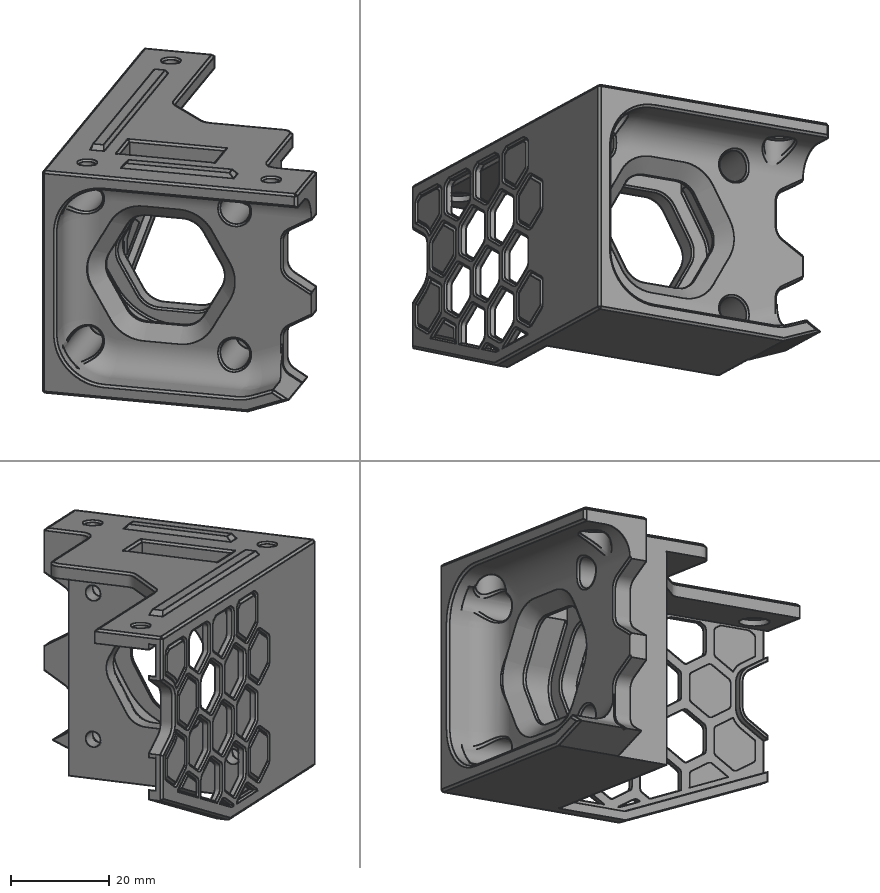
import cadquery as cq
import math

width = 53.8
length = 77.8
height = 48.0
arm_width = 15.0
wall = 3.0
edge_chamfer = 0.5
rim_chamfer = 0.4
hex_angle = math.radians(30)

bevel_start = 43.3
long_arm_end_z = 13.3
bevel_slope = long_arm_end_z / (length - bevel_start)
bevel_angle = math.atan(bevel_slope)

hex_pitch = 12.0
hex_across_flats = 10.0
hex_corner_radius = 1.0
row_pitch = hex_pitch * math.cos(hex_angle)
first_row_y = 70.8
first_row_z = 41.25
panel_thickness = 1.5
notch_border = 1.9
bevel_border = 3.1
plug_chamfer = 0.55
recess_margin = 1.2
plugged_cells = [(0, 0), (0, 3), (1, 0), (1, 3), (2, 0), (3, 0), (3, 3)]
open_cells = [(0, 1), (0, 2), (1, 1), (1, 2), (2, 1), (2, 2), (2, 3), (3, 1), (3, 2), (4, 2), (4, 3)]

notch_depth = 6.05
notch_mouth_half = 7.85
notch_radius = 3.0
upper_notch_z = first_row_z - row_pitch
lower_notch_z = first_row_z - 3 * row_pitch

bump_x = 43.1
bump_y = 37.8
diagonal_start_y = 47.0
outline_radius = 2.5

pocket_depth = 11.0
pocket_corner_radius = 10.0
pocket_floor_radius = 6.0

fan_x = 22.15
fan_z = 23.85
fan_hole_pitch = 31.0
duct_apothem = 11.55
duct_corner_radius = 5.0
duct_chamfer = 3.0
chamber_front = 14.7
chamber_back = 23.0
chamber_depth = chamber_back - chamber_front
chamber_apothem = 15.2
chamber_corner_radius = 8.0
block_back = 27.0
slot_width = 20.0

screw_diameter = 3.3
head_diameter = 6.25
head_seat = 1.8
bore_clearance = 0.15
screw_inset = 7.5
arm_screw_y = 71.6
corner_screw = (screw_inset, screw_inset)
short_arm_screw = (width - screw_inset, screw_inset)
long_arm_screw = (screw_inset, arm_screw_y)

rib_width = 3.0
rib_height = 1.0
rib_side_slope = 0.4
rib_end_slope = 1.0
rib_start = 15.0
long_rib_length = 49.0
short_rib_length = width - 2 * rib_start


def front_plane(y):
    return cq.Workplane("XZ", origin=(0, y, 0))


def side_plane(x):
    return cq.Workplane("YZ", origin=(x, 0, 0))


def arm_outline(plane, arm_length):
    """Outline of an arm, with the sloping cut at its outer bottom corner."""
    return plane.polyline([
        (0, 0),
        (bevel_start, 0),
        (arm_length, bevel_slope * (arm_length - bevel_start)),
        (arm_length, height),
        (0, height),
    ]).close()


def notch_outline(plane, arm_length, center_z, grow=0.0):
    """Outline of a notch in an arm end: 30 degree sides and rounded inner corners."""
    taper = math.tan(hex_angle)
    inner = arm_length - notch_depth - grow
    inner_half = notch_mouth_half - (notch_depth - grow) * taper
    overshoot = 2 * notch_depth
    outer_half = inner_half + overshoot * taper
    radius = notch_radius + grow
    tangent = radius * taper
    back = tangent * math.cos(hex_angle)
    rise = tangent * math.sin(hex_angle)
    sag = radius * (1 / math.cos(hex_angle) - 1)
    mid = inner + sag * math.cos(hex_angle)
    mid_rise = sag * math.sin(hex_angle)
    low = center_z - inner_half
    high = center_z + inner_half
    return (
        plane.moveTo(inner, low + tangent)
        .threePointArc((mid, low + mid_rise), (inner + back, low - rise))
        .lineTo(inner + overshoot, center_z - outer_half)
        .lineTo(inner + overshoot, center_z + outer_half)
        .lineTo(inner + back, high + rise)
        .threePointArc((mid, high - mid_rise), (inner, high - tangent))
        .close()
    )


def top_plate():
    plate = cq.Workplane("XY", origin=(0, 0, height - wall)).polyline([
        (0, 0),
        (width, 0),
        (width, arm_width),
        (bump_x, arm_width),
        (bump_x, bump_y),
        (arm_width + diagonal_start_y - bump_y, bump_y),
        (arm_width, diagonal_start_y),
        (arm_width, length),
        (0, length),
    ]).close().extrude(wall)
    inner_corners = cq.selectors.BoxSelector(
        (arm_width - 1, arm_width - 1, 0), (width - 1, length - 1, height)
    )
    return plate.edges("|Z").edges(inner_corners).fillet(outline_radius)


def pocket():
    """Open-sided scoop whose lower edge follows the sloping cut."""
    mouth = 2 * width
    bend = bevel_start - wall * math.tan(bevel_angle / 2)
    scoop = front_plane(0).polyline([
        (wall, wall),
        (bend, wall),
        (mouth, wall + bevel_slope * (mouth - bend)),
        (mouth, height - wall),
        (wall, height - wall),
    ]).close().extrude(-pocket_depth)
    scoop = scoop.edges("|Y").edges("<X").fillet(pocket_corner_radius)
    bend_edge = cq.selectors.BoxSelector((bend - 1, 0, 0), (bend + 1, arm_width, height))
    scoop = scoop.edges("|Y").edges(bend_edge).fillet(pocket_corner_radius)
    return scoop.faces(">Y").edges().fillet(pocket_floor_radius)


def outer_shell():
    """Both arms, the top plate and the fan block, with the pocket and the end notches cut."""
    front = arm_outline(front_plane(0), width).extrude(-arm_width)
    side = arm_outline(side_plane(0), length).extrude(wall)
    block = front_plane(arm_width).rect(bump_x, height, centered=False).extrude(arm_width - block_back)
    shell = front.union(side).union(block).union(top_plate()).cut(pocket())
    for center_z in (upper_notch_z, lower_notch_z):
        shell = shell.cut(notch_outline(front_plane(0), width, center_z).extrude(-arm_width))
    shell = shell.cut(notch_outline(side_plane(0), length, upper_notch_z).extrude(wall))
    shell = shell.faces(">Z or <X or <Y").edges().chamfer(edge_chamfer)
    for center_z in (upper_notch_z, lower_notch_z):
        flare = notch_outline(front_plane(pocket_depth), width, center_z, rim_chamfer)
        shell = shell.cut(flare.extrude(-rim_chamfer, taper=45))
    return shell


def rod(x, y, z, direction, diameter, depth):
    start = cq.Vector(x, y, z)
    return cq.Workplane(obj=cq.Solid.makeCylinder(diameter / 2, depth, start, cq.Vector(direction)))


def countersink(x, y, z, direction):
    """Cone that widens a screw hole where it opens at a face."""
    radius = screw_diameter / 2
    start = cq.Vector(x, y, z)
    cone = cq.Solid.makeCone(radius + rim_chamfer, radius, rim_chamfer, start, cq.Vector(direction))
    return cq.Workplane(obj=cone)


def plate_screw_hole(x, y):
    """Hole through the top plate, with its head bore below."""
    down = (0, 0, -1)
    seat_z = height - head_seat
    bore_depth = seat_z - (fan_z + fan_hole_pitch / 2)
    hole = rod(x, y, height, down, screw_diameter, wall)
    hole = hole.union(countersink(x, y, height, down))
    return hole.union(rod(x, y, seat_z, down, head_diameter, bore_depth))


def fan_screw_hole(x, z, countersunk):
    """Hole through the fan block, with a deep head bore opening into the pocket."""
    inward = (0, 1, 0)
    hole = rod(x, wall, z, inward, screw_diameter, block_back - wall)
    hole = hole.union(rod(x, wall, z, inward, head_diameter, chamber_back - wall))
    if countersunk:
        hole = hole.union(countersink(x, chamber_back, z, inward))
    return hole


def edges_within(low, high):
    return cq.selectors.BoxSelector(low, high, boundingbox=True)


def cut_screw_holes(shell):
    """Cut all the screw holes, then chamfer the rims of the head bores in the pocket."""
    half_pitch = fan_hole_pitch / 2
    fillet_start = pocket_depth - pocket_floor_radius
    reach = head_diameter / 2 + bore_clearance
    bore_rims = []
    for side in (-1, 1):
        for level in (-1, 1):
            x = fan_x + side * half_pitch
            z = fan_z + level * half_pitch
            shell = shell.cut(fan_screw_hole(x, z, side == 1 or level == -1))
            bore_rims.append(edges_within(
                (x - reach, fillet_start - bore_clearance, z - reach),
                (x + reach, pocket_depth + bore_clearance, z + reach),
            ))
    for x, y in (corner_screw, short_arm_screw, long_arm_screw):
        shell = shell.cut(plate_screw_hole(x, y))
    x, y = short_arm_screw
    bore_rims.append(edges_within(
        (x - reach, y - reach, fan_z), (x + reach, y + reach, height - wall + bore_clearance)
    ))
    for rim in bore_rims:
        shell = shell.edges(rim).chamfer(rim_chamfer)
    return shell


def flat_top_hexagon(apothem, y, depth, corner_radius):
    across_corners = 2 * apothem / math.cos(hex_angle)
    prism = front_plane(y).center(fan_x, fan_z).polygon(6, across_corners).extrude(-depth)
    return prism.edges("|Y").fillet(corner_radius)


def duct_flare(y, size, lead):
    """Cutter with a straight lead up to y, narrowing to the duct behind it."""
    flare = flat_top_hexagon(duct_apothem + size, y - lead, lead + size, duct_corner_radius + size)
    return flare.faces(">Y").edges().chamfer(size)


def duct():
    """Rounded hexagonal passage with flared entries at the pocket and at the rear wall."""
    passage = flat_top_hexagon(duct_apothem, pocket_depth, block_back - pocket_depth, duct_corner_radius)
    pocket_entry = duct_flare(pocket_depth, duct_chamfer, pocket_floor_radius)
    rear_entry = duct_flare(chamber_back, rim_chamfer, chamber_depth / 2)
    return passage.union(pocket_entry).union(rear_entry)


def chamber():
    """Hexagonal chamber with round side corners and a round bottom, open to a slot in the top."""
    tangent_x = chamber_apothem * math.cos(hex_angle)
    tangent_z = chamber_apothem * math.sin(hex_angle)
    corner_x = chamber_apothem / math.cos(hex_angle)
    top_x = chamber_apothem * math.tan(hex_angle)
    body = (
        front_plane(chamber_front).center(fan_x, fan_z)
        .moveTo(-tangent_x, -tangent_z)
        .threePointArc((0, -chamber_apothem), (tangent_x, -tangent_z))
        .lineTo(corner_x, 0)
        .lineTo(top_x, chamber_apothem)
        .lineTo(-top_x, chamber_apothem)
        .lineTo(-corner_x, 0)
        .close()
        .extrude(-chamber_depth)
    )
    body = body.edges("|Y").edges("<X or >X").fillet(chamber_corner_radius)
    body = body.faces(">Y").edges().chamfer(rim_chamfer)
    middle_y = (chamber_front + chamber_back) / 2
    slot = (
        cq.Workplane("XY", origin=(fan_x, middle_y, fan_z))
        .rect(slot_width, chamber_depth)
        .extrude(height - fan_z)
    )
    slot_rim = (
        cq.Workplane("XY", origin=(fan_x, middle_y, height))
        .rect(slot_width + 2 * edge_chamfer, chamber_depth + 2 * edge_chamfer)
        .extrude(-edge_chamfer, taper=45)
    )
    return body.union(slot).union(slot_rim)


def honeycomb_region(start, depth, grow=0.0):
    """Slab of the long arm that the cells may fill, grown sideways if asked."""
    inset = wall - grow
    slope_inset = bevel_border - grow
    region = side_plane(start).polyline([
        (0, inset),
        (bevel_start - slope_inset * math.tan(bevel_angle / 2), inset),
        (length, long_arm_end_z + slope_inset / math.cos(bevel_angle)),
        (length, height - inset),
        (0, height - inset),
    ]).close().extrude(depth)
    border = notch_outline(side_plane(start), length, upper_notch_z, notch_border - grow)
    return region.cut(border.extrude(depth))


def hexagon_cell(row, column, start, depth, grow=0.0):
    y = first_row_y - (column + row % 2 / 2) * hex_pitch
    z = first_row_z - row * row_pitch
    across_corners = (hex_across_flats + 2 * grow) / math.cos(hex_angle)
    prism = (
        cq.Workplane("YZ", origin=(start, y, z))
        .transformed(rotate=(0, 0, 90))
        .polygon(6, across_corners)
        .extrude(depth)
    )
    return prism.edges("|X").fillet(hex_corner_radius + grow)


def bevelled_overlap(first, second, face, bevel):
    """Common part of two slabs, with all its edges on one face chamfered."""
    first = first.faces(face).edges().chamfer(bevel)
    return first.intersect(second.faces(face).edges().chamfer(bevel))


def cut_honeycomb(shell):
    """Thin the wall behind the honeycomb, then cut each cell with its chamfered rim."""
    behind = side_plane(panel_thickness).center(block_back, 0).rect(length, height, centered=False)
    recess = honeycomb_region(0, wall, recess_margin).intersect(behind.extrude(wall))
    shell = shell.cut(recess)
    opening_region = honeycomb_region(0, panel_thickness)
    rim_region = honeycomb_region(-rim_chamfer, 2 * rim_chamfer, rim_chamfer)
    for row, column in plugged_cells + open_cells:
        shell = shell.cut(hexagon_cell(row, column, 0, panel_thickness).intersect(opening_region))
        rim = hexagon_cell(row, column, -rim_chamfer, 2 * rim_chamfer, rim_chamfer)
        shell = shell.cut(bevelled_overlap(rim, rim_region, ">X", rim_chamfer))
    return shell


def rib(center_x, center_y, size_x, size_y, slope_x, slope_y):
    return (
        cq.Workplane("XY", origin=(center_x, center_y, height))
        .rect(size_x, size_y)
        .workplane(offset=rib_height)
        .rect(size_x - 2 * slope_x, size_y - 2 * slope_y)
        .loft()
    )


def make_housing():
    shell = cut_screw_holes(outer_shell())
    shell = shell.cut(chamber()).cut(duct())
    shell = cut_honeycomb(shell)
    long_rib_y = rib_start + long_rib_length / 2
    long_rib = rib(screw_inset, long_rib_y, rib_width, long_rib_length, rib_side_slope, rib_end_slope)
    short_rib = rib(width / 2, screw_inset, short_rib_length, rib_width, rib_end_slope, rib_side_slope)
    return shell.union(long_rib).union(short_rib)


def make_plug(row, column):
    """Panel that fills one honeycomb cell, flush with the outer face."""
    prism = hexagon_cell(row, column, 0, panel_thickness)
    return bevelled_overlap(prism, honeycomb_region(0, panel_thickness), "<X", plug_chamfer)


housing = make_housing()
plugs = [make_plug(row, column).val() for row, column in plugged_cells]
plugs = [solid for plug in plugs for solid in plug.Solids()]
result = cq.Compound.makeCompound([*housing.vals(), *plugs])